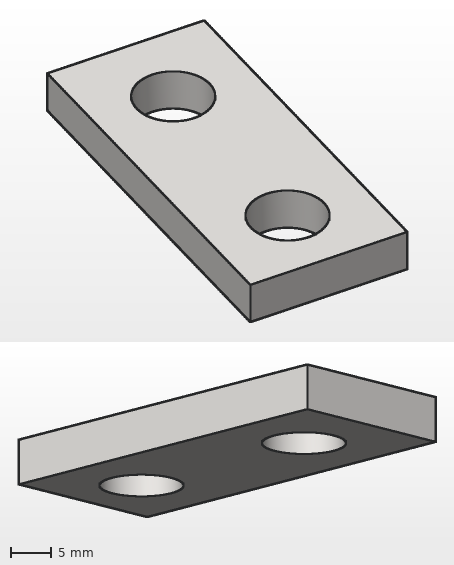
import cadquery as cq

length = 50.8
width = 22.35
thickness = 5.75

hole_diameter = 10.4
hole_spacing = 28.6
first_hole_from_end = 11.9

first_hole_x = -length / 2 + first_hole_from_end
hole_centres = [(first_hole_x, 0), (first_hole_x + hole_spacing, 0)]

plate = cq.Workplane("XY").box(length, width, thickness)

result = (
    plate.faces(">Z")
    .workplane()
    .pushPoints(hole_centres)
    .hole(hole_diameter)
)